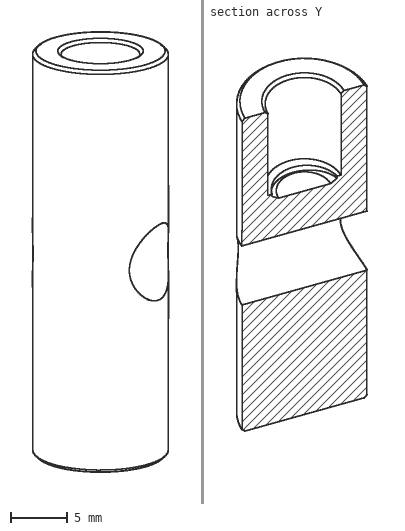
import cadquery as cq

LENGTH = 37.5
BODY_DIAMETER = 12.1
EDGE_CHAMFER = 0.3

CROSS_HOLE_DIAMETER = 7.0

BORE_DIAMETER = 7.0
BORE_DEPTH = 10.0
MOUTH_CHAMFER = 0.3

OPENING_DIAMETER = 6.38
OPENING_SHIFT = 0.6
RECESS_BOTTOM_DIAMETER = 5.02
RECESS_DEPTH = 0.68

BORE_FLOOR_Z = LENGTH - BORE_DEPTH
RECESS_FLOOR_Z = BORE_FLOOR_Z - RECESS_DEPTH


def make_body():
    """Solid round pin standing on Z = 0, chamfered at both ends."""
    body = cq.Workplane("XY").circle(BODY_DIAMETER / 2).extrude(LENGTH)
    return body.faces("<Z or >Z").chamfer(EDGE_CHAMFER)


def make_cross_hole():
    """Cylinder along X that passes right through the pin."""
    return (
        cq.Workplane("YZ")
        .center(0, LENGTH / 2)
        .circle(CROSS_HOLE_DIAMETER / 2)
        .extrude(BODY_DIAMETER / 2, both=True)
    )


def make_bore():
    """Blind cylinder from the bore floor up to the top end."""
    return (
        cq.Workplane("XY", origin=(0, 0, BORE_FLOOR_Z))
        .circle(BORE_DIAMETER / 2)
        .extrude(BORE_DEPTH)
    )


def make_mouth_chamfer():
    """Cone that widens the bore at the top end by a 45 degree chamfer."""
    return (
        cq.Workplane("XY", origin=(0, 0, LENGTH - MOUTH_CHAMFER))
        .circle(BORE_DIAMETER / 2)
        .workplane(offset=MOUTH_CHAMFER)
        .circle(BORE_DIAMETER / 2 + MOUTH_CHAMFER)
        .loft(ruled=True)
    )


def make_recess():
    """Cone tapering from the bore wall to a flat bottom, reached through the shifted opening."""
    cone = (
        cq.Workplane("XY", origin=(0, 0, RECESS_FLOOR_Z))
        .circle(RECESS_BOTTOM_DIAMETER / 2)
        .workplane(offset=RECESS_DEPTH)
        .circle(BORE_DIAMETER / 2)
        .loft(ruled=True)
    )
    opening = (
        cq.Workplane("XY", origin=(0, -OPENING_SHIFT, RECESS_FLOOR_Z))
        .circle(OPENING_DIAMETER / 2)
        .extrude(RECESS_DEPTH)
    )
    return cone.intersect(opening)


result = (
    make_body()
    .cut(make_cross_hole())
    .cut(make_bore())
    .cut(make_mouth_chamfer())
    .cut(make_recess())
)